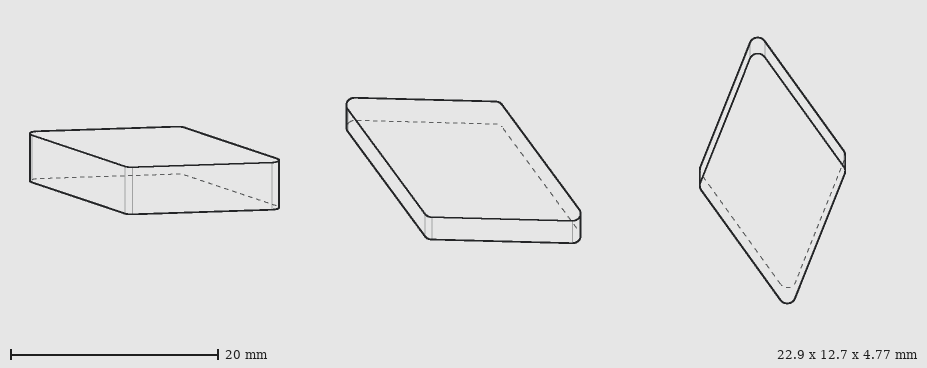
import cadquery as cq
import math

length = 22.93
width = 12.7
thickness = 4.77
acute_angle = math.radians(55)

side = width / math.sin(acute_angle)
slant = side * math.cos(acute_angle)
sharp_length = side + slant

tip_loss = 1 / math.tan(acute_angle / 2) - 1
corner_radius = (sharp_length - length) / (2 * tip_loss)

corners = [
    (-sharp_length / 2, -width / 2),
    (sharp_length / 2 - slant, -width / 2),
    (sharp_length / 2, width / 2),
    (-sharp_length / 2 + slant, width / 2),
]

result = (
    cq.Workplane("XY")
    .polyline(corners)
    .close()
    .extrude(thickness)
    .edges("|Z")
    .fillet(corner_radius)
)